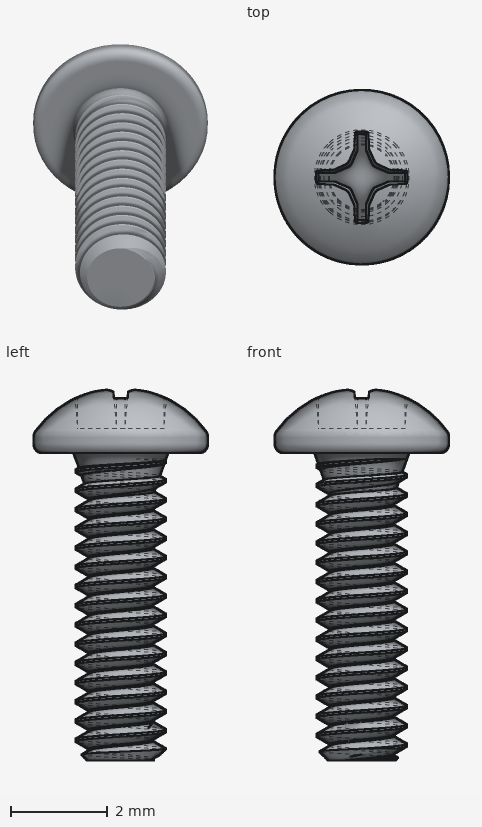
import cadquery as cq
import math

total_height = 7.66
head_diameter = 3.61
head_radius = head_diameter / 2

head_height = 1.31
underside_z = total_height - head_height
dome_radius = 2.18
dome_apex_z = total_height + 0.04
rim_fillet = 0.19

recess_depth = 0.84
recess_draft = 5.0
wing_reach = 0.89
wing_count = 4
wing_half_width = 0.085
wing_root = 0.57
flare_corner = 0.23
recess_fillet = 0.185

root_radius = 0.67
neck_radius = 0.98
neck_length = 0.87

crest_diameter = 1.88
crest_radius = crest_diameter / 2
flank_angle = 30.0
full_turns = 13
full_turns_length = 5.16
pitch = full_turns_length / full_turns
crest_width = pitch / 8
first_crest_z = 0.32
lead_in_turns = 2
lead_out_depth = 0.115
ridge_overlap = 0.02

tip_allowance = 1.53
tip_radius = 0.69


def make_head():
    dome_center_z = dome_apex_z - dome_radius
    dome_edge_z = dome_center_z + math.sqrt(dome_radius**2 - head_radius**2)
    half_angle = math.asin(head_radius / dome_radius) / 2
    dome_mid = (
        dome_radius * math.sin(half_angle),
        dome_center_z + dome_radius * math.cos(half_angle),
    )
    profile = (
        cq.Workplane("XZ")
        .moveTo(0, underside_z)
        .lineTo(head_radius, underside_z)
        .lineTo(head_radius, dome_edge_z)
        .threePointArc(dome_mid, (0, dome_apex_z))
        .close()
    )
    head = profile.revolve(360, (0, 0, 0), (0, 1, 0))
    rim_edges = cq.selectors.RadiusNthSelector(0)
    return head.edges("%CIRCLE").edges(rim_edges).fillet(rim_fillet)


def make_recess():
    wing = [
        (wing_root, -wing_half_width),
        (wing_reach, -wing_half_width),
        (wing_reach, wing_half_width),
        (wing_root, wing_half_width),
        (flare_corner, flare_corner),
    ]
    outline = []
    for _ in range(wing_count):
        outline += wing
        wing = [(-y, x) for x, y in wing]
    recess = (
        cq.Workplane("XY", origin=(0, 0, dome_apex_z - recess_depth))
        .polyline(outline)
        .close()
        .extrude(recess_depth, taper=-recess_draft)
    )
    box_half = (wing_root + wing_reach) / 2
    near_axis = cq.selectors.BoxSelector((-box_half, -box_half, 0), (box_half, box_half, dome_apex_z))
    return recess.edges("not #Z").edges(near_axis).fillet(recess_fillet)


def make_core():
    """Root cylinder, run past the tip so that the thread can be trimmed together with it."""
    return (
        cq.Workplane("XY", origin=(0, 0, -tip_allowance))
        .circle(root_radius)
        .extrude(tip_allowance + underside_z)
    )


def make_neck():
    return (
        cq.Workplane("XZ")
        .polyline(
            [
                (0, underside_z - neck_length),
                (root_radius, underside_z - neck_length),
                (neck_radius, underside_z),
                (0, underside_z),
            ]
        )
        .close()
        .revolve(360, (0, 0, 0), (0, 1, 0))
    )


def make_thread():
    start_z = first_crest_z - lead_in_turns * pitch
    length = underside_z + lead_out_depth - start_z
    sunk_radius = root_radius - ridge_overlap
    half_crest = crest_width / 2
    half_base = half_crest + (crest_radius - sunk_radius) * math.tan(math.radians(flank_angle))
    path = cq.Wire.makeHelix(pitch, length, root_radius)
    ridge = (
        cq.Workplane("XZ")
        .polyline(
            [
                (sunk_radius, -half_base),
                (crest_radius, -half_crest),
                (crest_radius, half_crest),
                (sunk_radius, half_base),
            ]
        )
        .close()
        .sweep(cq.Workplane(obj=path), isFrenet=True)
    )
    return ridge.translate((0, 0, start_z))


def make_envelope():
    """Space that the screw may fill, with a 45 degree chamfer at the tip."""
    envelope_radius = head_diameter
    return (
        cq.Workplane("XZ")
        .polyline(
            [
                (0, 0),
                (tip_radius, 0),
                (envelope_radius, envelope_radius - tip_radius),
                (envelope_radius, dome_apex_z),
                (0, dome_apex_z),
            ]
        )
        .close()
        .revolve(360, (0, 0, 0), (0, 1, 0))
    )


shank = make_core().union(make_thread(), clean=False)
head_and_neck = make_head().cut(make_recess()).union(make_neck())
result = shank.union(head_and_neck, clean=False).intersect(make_envelope(), clean=False)